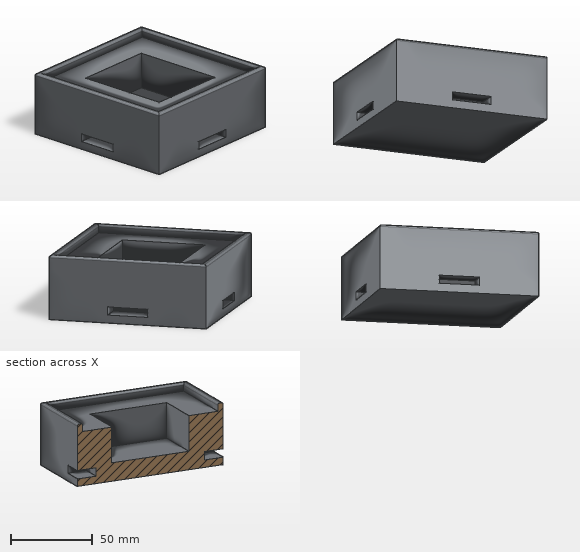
import cadquery as cq

SIDE = 100.0
HEIGHT = 40.08

RIM_WIDTH = 3.81
RIM_HEIGHT = 5.08
RIM_FILLET = RIM_WIDTH / 3

POCKET_LENGTH = 59.4
POCKET_WIDTH = 52.5
POCKET_DEPTH = 22.86

SLOT_WIDTH = 25.4
SLOT_HEIGHT = 5.08
SLOT_BOTTOM = 5.08
SLOT_DEPTH = 12.7

RECESS_SIDE = SIDE - 2 * RIM_WIDTH
RECESS_FLOOR = HEIGHT - RIM_HEIGHT


def make_body():
    """Square block with a shallow top recess and a rounded rim."""
    block = cq.Workplane("XY").rect(SIDE, SIDE).extrude(HEIGHT)
    recess = (
        cq.Workplane("XY")
        .workplane(offset=RECESS_FLOOR)
        .rect(RECESS_SIDE, RECESS_SIDE)
        .extrude(RIM_HEIGHT)
    )
    return block.cut(recess).faces(">Z").edges().fillet(RIM_FILLET)


def make_pocket():
    """Rectangular pocket reaching down from the recess floor."""
    return (
        cq.Workplane("XY")
        .workplane(offset=RECESS_FLOOR)
        .rect(POCKET_LENGTH, POCKET_WIDTH)
        .extrude(-POCKET_DEPTH)
    )


def make_slot(angle):
    """Blind slot in the -Y wall, turned about Z by the given angle."""
    return (
        cq.Workplane("XY")
        .box(SLOT_WIDTH, SLOT_DEPTH, SLOT_HEIGHT, centered=(True, False, False))
        .translate((0, -SIDE / 2, SLOT_BOTTOM))
        .rotate((0, 0, 0), (0, 0, 1), angle)
    )


result = make_body().cut(make_pocket())
for slot_angle in (0, 90, 180, 270):
    result = result.cut(make_slot(slot_angle))